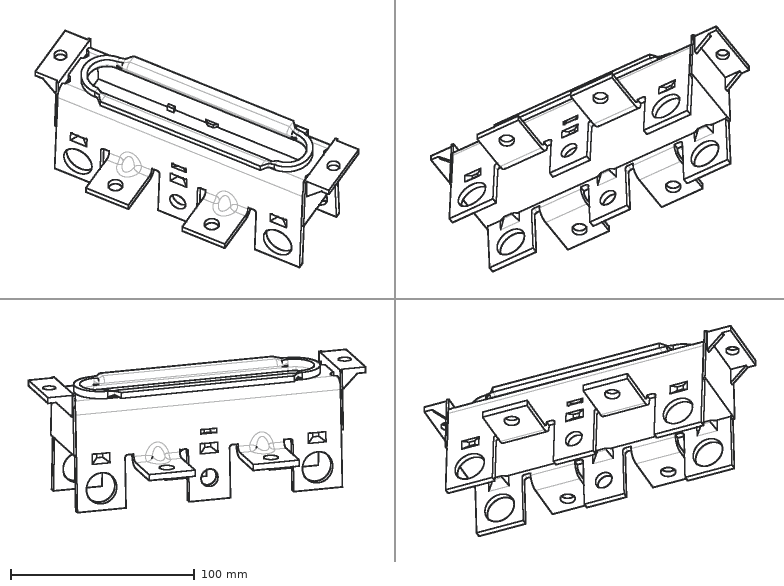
import cadquery as cq
import math

SHEET = 3.5
BEND_IN = 3.0
BEND_OUT = BEND_IN + SHEET

FRAME_LENGTH = 152.2
FRAME_HEIGHT = 61.0
FOOT_HALF_WIDTH = 22.8
WALL_ANGLE = 3.4

MIDDLE_LEG_HALF = 11.9
OUTER_LEG_INNER = 48.2
GAP_TOP = 29.7
GAP_CORNER = 1.6
FLANGE_X = 30.0
FLANGE_WIDTH = 26.5
FLANGE_REACH = 47.6
FLANGE_TOP = 26.0
STRIP_TOP = 43.8
FLANGE_HOLE_Y = 38.1
FLANGE_HOLE_DIA = 8.0
LEG_X = 62.0
LEG_HOLE_Z = 12.4
OUTER_LEG_HOLE_DIA = 17.3
MIDDLE_LEG_HOLE_DIA = 9.7

RIB_RADIUS = 4.0
RIB_RIDGE = 55.0
RIB_FILLET = 3.5

PIT_DEPTH = 2.2
BULGE_DEPTH = 1.6
LOUVRE_PIT = ((10.2, 5.7), (3.5, 2.7))
LOUVRE_BULGE = ((12.0, 6.5), (5.3, 1.0))
STOP_TOP = 39.8
STOP_HEIGHT = 2.4
STOP_PIT = ((9.1, STOP_HEIGHT), (3.5, STOP_HEIGHT))
STOP_BULGE = ((7.7, STOP_HEIGHT), (3.5, STOP_HEIGHT))

RIM_HALF_LENGTH = 70.0
RIM_HALF_WIDTH = 14.2
RIM_WALL = 3.3
RIM_BEND = 3.3
RIM_TOP = 65.0
HEM_HALF_WIDTH = 19.0
HEM_HALF_LENGTH = 49.6

NOTCH_RADIUS = 3.5
NOTCH_Y = 10.5
NOTCH_SET_OUT = 0.7

INSERT_BOTTOM = 32.0
FLOOR_THICKNESS = 5.0
END_BLOCK_THICKNESS = 5.5
PLATE_THICKNESS = 1.3
PLATE_INSET = 0.5
TOTAL_LENGTH = 182.5
TOTAL_HEIGHT = 65.5
TAB_WIDTH = 34.3
TAB_THICKNESS = 3.3
TAB_HOLE_X = 84.8
TAB_HOLE_DIA = 7.0
GUSSET_THICKNESS = 2.2
GUSSET_SIZE = 9.1
STUD_X = -24.8
STUD_WIDTH = 4.0
STUD_FRONT_Y = 15.1
STUD_HEIGHT = 3.1

SLOPE = math.tan(math.radians(WALL_ANGLE))
RIM_INNER = RIM_HALF_WIDTH - RIM_WALL
RIM_STRAIGHT_HALF = RIM_HALF_LENGTH - RIM_HALF_WIDTH
HEM_BOTTOM = RIM_TOP - RIM_WALL
SHEET_ACROSS = SHEET / math.cos(math.radians(WALL_ANGLE))
FRAME_END = FRAME_LENGTH / 2
FLOOR_TOP = INSERT_BOTTOM + FLOOR_THICKNESS
PLATE_OUTER = FRAME_END + PLATE_THICKNESS


def wall_y(z, depth=0.0):
    """Half width of the side wall at height z, measured depth below its outer face along Y."""
    return FOOT_HALF_WIDTH - SLOPE * z - depth


def prism(points, length, x_middle=0.0):
    """Outline in the YZ plane extruded along X, centred on x_middle."""
    flat = cq.Workplane("YZ", origin=(x_middle - length / 2, 0, 0))
    return flat.polyline(points).close().extrude(length)


def hood_block(depth, bottom, top, length, radius):
    """Solid trapezoid with rounded top edges, its sides depth inside the outer wall faces."""
    low, high = wall_y(bottom, depth), wall_y(top, depth)
    block = prism([(-low, bottom), (low, bottom), (high, top), (-high, top)], length)
    return block.edges("|X and >Z").fillet(radius)


def inner_block(bottom, length):
    """The space under the hood from a given height up."""
    return hood_block(SHEET_ACROSS, bottom, FRAME_HEIGHT - SHEET, length, BEND_IN)


def both_sides(shape):
    return shape.union(shape.mirror("XZ"))


def leg_gaps():
    width = OUTER_LEG_INNER - MIDDLE_LEG_HALF
    middle = (OUTER_LEG_INNER + MIDDLE_LEG_HALF) / 2
    gap = cq.Workplane("XY").box(width, 3 * FOOT_HALF_WIDTH, GAP_TOP, centered=(True, True, False))
    gap = gap.edges("|Y and >Z").fillet(GAP_CORNER)
    return gap.translate((middle, 0, 0)).union(gap.translate((-middle, 0, 0)))


def flange_tangents(z, depth, radius):
    """Points on the +Y wall and on the flange where the bend arc between them starts and ends."""
    y = wall_y(z, depth)
    setback = radius * math.tan(math.radians(45 - WALL_ANGLE / 2))
    wall_z = z + setback * math.cos(math.radians(WALL_ANGLE))
    return (wall_y(wall_z, depth), wall_z), (y + setback, z)


def flange_arc_middle(z, depth, radius):
    """Point halfway round the bend arc."""
    _, (centre_y, _) = flange_tangents(z, depth, radius)
    direction = math.radians(225 + WALL_ANGLE / 2)
    return centre_y + radius * math.cos(direction), z + radius + radius * math.sin(direction)


def flange(x):
    """Wall strip that bends outward into a horizontal flange on the +Y side."""
    top, bottom = FLANGE_TOP, FLANGE_TOP - SHEET
    upper_wall, upper_flat = flange_tangents(top, 0, BEND_IN)
    lower_wall, lower_flat = flange_tangents(bottom, SHEET_ACROSS, BEND_OUT)
    strip = (
        cq.Workplane("YZ", origin=(x - FLANGE_WIDTH / 2, 0, 0))
        .moveTo(wall_y(STRIP_TOP), STRIP_TOP)
        .lineTo(*upper_wall)
        .threePointArc(flange_arc_middle(top, 0, BEND_IN), upper_flat)
        .lineTo(FLANGE_REACH, top)
        .lineTo(FLANGE_REACH, bottom)
        .lineTo(*lower_flat)
        .threePointArc(flange_arc_middle(bottom, SHEET_ACROSS, BEND_OUT), lower_wall)
        .lineTo(wall_y(STRIP_TOP, SHEET_ACROSS), STRIP_TOP)
        .close()
        .extrude(FLANGE_WIDTH)
    )
    hole = cq.Workplane("XY").center(x, FLANGE_HOLE_Y).circle(FLANGE_HOLE_DIA / 2).extrude(FRAME_HEIGHT)
    return strip.cut(hole)


def rib(x):
    """Round 45 degree ridge over the flange bend, rooted in the middle of the sheet."""
    ridge_reach = RIB_RIDGE - FLANGE_TOP
    axis_sum = RIB_RIDGE - RIB_RADIUS * math.sqrt(2)
    axis = cq.Plane(origin=(x, axis_sum, 0), xDir=(1, 0, 0), normal=(0, -1, 1))
    bar = cq.Workplane(axis).circle(RIB_RADIUS).extrude(2 * axis_sum)
    root_wall, root_flat = flange_tangents(FLANGE_TOP - SHEET / 2, SHEET_ACROSS / 2, BEND_IN + SHEET / 2)
    room = [
        (wall_y(RIB_RIDGE, SHEET_ACROSS / 2), RIB_RIDGE),
        root_wall,
        root_flat,
        (2 * ridge_reach, root_flat[1]),
    ]
    return bar.intersect(prism(room, 4 * RIB_RADIUS, x))


def ribbed_flange(x):
    """Flange with its rib, the foot of the rib rounded into the sheet."""
    foot_reach = RIB_RADIUS + RIB_FILLET / 2
    foot = cq.selectors.BoxSelector(
        (x - foot_reach, 0, 0),
        (x + foot_reach, FLANGE_HOLE_Y, STRIP_TOP - SHEET),
        boundingbox=True,
    )
    return flange(x).union(rib(x)).edges(foot).fillet(RIB_FILLET)


def wall_frustum(x, top, size, back, start, depth):
    """Tapered block in the -Y wall, start below its outer face and going inward, flush at its top edge."""
    lean = math.radians(WALL_ANGLE)
    inward = (0, math.cos(lean), -math.sin(lean))
    face = cq.Plane(origin=(x, -wall_y(top), top), xDir=(-1, 0, 0), normal=inward)
    return (
        cq.Workplane(face)
        .workplane(offset=start)
        .center(0, -size[1] / 2)
        .rect(*size)
        .workplane(offset=depth)
        .center(0, (size[1] - back[1]) / 2)
        .rect(*back)
        .loft(ruled=True)
    )


def press_louvre(body, x, top, pit, bulge):
    """Press a pit into both walls at x, with a shallower bulge inside the hood.

    pit and bulge each hold (width, height) at the wall and at their far face.
    """
    bump = wall_frustum(x, top, *bulge, SHEET, BULGE_DEPTH)
    dent = wall_frustum(x, top, *pit, 0, PIT_DEPTH)
    return body.union(both_sides(bump)).cut(both_sides(dent))


def leg_holes():
    drill = cq.Workplane("XZ", origin=(0, 2 * FOOT_HALF_WIDTH, 0))
    depth = 4 * FOOT_HALF_WIDTH
    middle = drill.center(0, LEG_HOLE_Z).circle(MIDDLE_LEG_HOLE_DIA / 2).extrude(depth)
    outer = drill.pushPoints([(-LEG_X, LEG_HOLE_Z), (LEG_X, LEG_HOLE_Z)])
    return middle.union(outer.circle(OUTER_LEG_HOLE_DIA / 2).extrude(depth))


def end_notches():
    x = FRAME_END + NOTCH_SET_OUT
    places = [(sx * x, sy * NOTCH_Y) for sx in (-1, 1) for sy in (-1, 1)]
    flat = cq.Workplane("XY", origin=(0, 0, FRAME_HEIGHT - SHEET))
    return flat.pushPoints(places).circle(NOTCH_RADIUS).extrude(SHEET)


def rim_slot(half_length, half_width, bottom):
    flat = cq.Workplane("XY", origin=(0, 0, bottom))
    return flat.slot2D(2 * half_length, 2 * half_width).extrude(RIM_TOP - bottom)


def rim_section(x, fold):
    """Section of the +Y rim at station x; fold runs from 0, upright, to 1, folded fully outward."""
    inset = RIM_WALL * (1 - math.sqrt(0.5))

    def between(upright, folded):
        return tuple(a + fold * (b - a) for a, b in zip(upright, folded))

    lip_start = (RIM_INNER, HEM_BOTTOM)
    lip_end = between((RIM_INNER, (HEM_BOTTOM + RIM_TOP) / 2), (RIM_HALF_WIDTH, RIM_TOP))
    lip_middle = between((RIM_INNER, HEM_BOTTOM + RIM_WALL / 4), (RIM_INNER + inset, RIM_TOP - inset))
    edge_inner = between((RIM_INNER, RIM_TOP), (HEM_HALF_WIDTH, RIM_TOP))
    edge_outer = between((RIM_HALF_WIDTH, RIM_TOP), (HEM_HALF_WIDTH, HEM_BOTTOM))
    outline = cq.Workplane("YZ", origin=(x, 0, 0)).moveTo(RIM_INNER, FRAME_HEIGHT).lineTo(*lip_start)
    outline = outline.threePointArc(lip_middle, lip_end) if fold else outline.lineTo(*lip_end)
    return (
        outline.lineTo(*edge_inner)
        .lineTo(*edge_outer)
        .lineTo(RIM_HALF_WIDTH, HEM_BOTTOM)
        .lineTo(RIM_HALF_WIDTH, FRAME_HEIGHT)
        .close()
    )


def folded_rim():
    """Straight folded stretch of the +Y rim, twisting into the upright rim at both ends."""
    body = rim_section(-HEM_HALF_LENGTH, 1).extrude(2 * HEM_HALF_LENGTH)
    middle_x = (RIM_STRAIGHT_HALF + HEM_HALF_LENGTH) / 2
    stations = [(RIM_STRAIGHT_HALF, 0), (middle_x, 0.5), (HEM_HALF_LENGTH, 1)]
    for near, far in zip(stations, stations[1:]):
        wires = [rim_section(*near).wire().val(), rim_section(*far).wire().val()]
        twist = cq.Workplane(cq.Solid.makeLoft(wires, True))
        body = body.union(twist).union(twist.mirror("YZ"))
    return body


def add_rim(shell):
    """Raise the rim round the long opening, then fold its straight sides outward."""
    sheet_bottom = FRAME_HEIGHT - SHEET
    rim = rim_slot(RIM_HALF_LENGTH, RIM_HALF_WIDTH, sheet_bottom)
    opening = rim_slot(RIM_HALF_LENGTH - RIM_WALL, RIM_INNER, sheet_bottom)
    underside = cq.selectors.BoxSelector(
        (-RIM_HALF_LENGTH, -RIM_HALF_WIDTH, sheet_bottom - SHEET / 2),
        (RIM_HALF_LENGTH, RIM_HALF_WIDTH, sheet_bottom + SHEET / 2),
        boundingbox=True,
    )
    straight = cq.Workplane("XY", origin=(0, 0, FRAME_HEIGHT))
    straight = straight.rect(2 * RIM_STRAIGHT_HALF, 2 * HEM_HALF_WIDTH).extrude(RIM_TOP)
    shell = shell.union(rim).cut(opening).edges(underside).fillet(RIM_BEND)
    return shell.cut(straight).union(both_sides(folded_rim()))


def make_frame():
    shell = hood_block(0, 0, FRAME_HEIGHT, FRAME_LENGTH, BEND_OUT)
    shell = shell.cut(inner_block(0, FRAME_LENGTH)).cut(leg_gaps())
    for x in (-FLANGE_X, FLANGE_X):
        shell = shell.union(both_sides(ribbed_flange(x)))
    shell = add_rim(shell)
    for x in (-LEG_X, 0, LEG_X):
        shell = press_louvre(shell, x, INSERT_BOTTOM, LOUVRE_PIT, LOUVRE_BULGE)
    shell = press_louvre(shell, 0, STOP_TOP, STOP_PIT, STOP_BULGE)
    return shell.cut(leg_holes()).cut(end_notches())


def end_plate():
    """Plate lying on the +X end of the frame."""
    low = wall_y(INSERT_BOTTOM, PLATE_INSET)
    high = wall_y(TOTAL_HEIGHT, PLATE_INSET)
    outline = [(-low, INSERT_BOTTOM), (low, INSERT_BOTTOM), (high, TOTAL_HEIGHT), (-high, TOTAL_HEIGHT)]
    return prism(outline, PLATE_THICKNESS, FRAME_END + PLATE_THICKNESS / 2)


def mounting_tab():
    """Horizontal tab at the top of the +X plate, with a gusset under each side and a hole."""
    reach = TOTAL_LENGTH / 2 - FRAME_END
    underside = TOTAL_HEIGHT - TAB_THICKNESS
    flat = cq.Workplane("XY", origin=(FRAME_END, 0, underside))
    tab = flat.center(reach / 2, 0).rect(reach, TAB_WIDTH).extrude(TAB_THICKNESS)
    gusset = (
        cq.Workplane("XZ", origin=(0, TAB_WIDTH / 2, 0))
        .polyline([
            (PLATE_OUTER, underside),
            (PLATE_OUTER + GUSSET_SIZE, underside),
            (PLATE_OUTER, underside - GUSSET_SIZE),
        ])
        .close()
        .extrude(GUSSET_THICKNESS)
    )
    hole = cq.Workplane("XY").center(TAB_HOLE_X, 0).circle(TAB_HOLE_DIA / 2).extrude(TOTAL_HEIGHT)
    return tab.union(both_sides(gusset)).cut(hole)


def floor_stud():
    """Small block on the floor, against the +Y wall."""
    top = FLOOR_TOP + STUD_HEIGHT
    outline = [
        (STUD_FRONT_Y, FLOOR_TOP),
        (wall_y(FLOOR_TOP, SHEET_ACROSS), FLOOR_TOP),
        (wall_y(top, SHEET_ACROSS), top),
        (STUD_FRONT_Y, top),
    ]
    return prism(outline, STUD_WIDTH, STUD_X)


def make_insert():
    """Floor and end blocks filling the hood section, with an end plate and a tab at each end."""
    room_length = FRAME_LENGTH - 2 * END_BLOCK_THICKNESS
    body = inner_block(INSERT_BOTTOM, FRAME_LENGTH)
    room_size = (room_length, 2 * FOOT_HALF_WIDTH, FRAME_HEIGHT)
    room = cq.Workplane("XY", origin=(0, 0, FLOOR_TOP)).box(*room_size, centered=(True, True, False))
    body = body.cut(room)
    end = end_plate().union(mounting_tab())
    return body.union(end).union(end.mirror("YZ")).union(floor_stud())


frame = make_frame()
insert = make_insert()
result = cq.Compound.makeCompound([frame.val(), insert.val()])